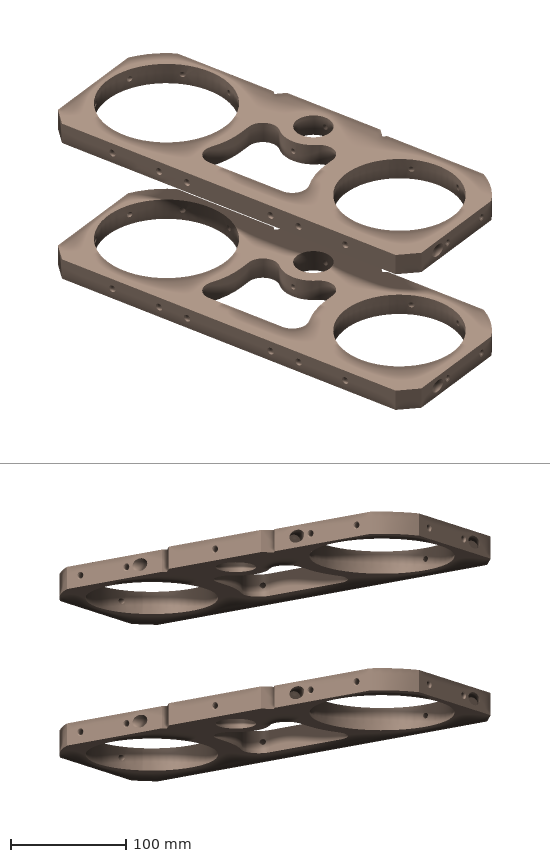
import cadquery as cq
import math

LEFT = -1
RIGHT = 1

length = 390.0
stack_height = 160.0
plate_thickness = 20.0
level_pitch = stack_height - plate_thickness
mid_height = plate_thickness / 2

bore_spacing = 250.0
bore_x = bore_spacing / 2
bore_diameters = {LEFT: 126.0, RIGHT: 115.0}
clamp_reach = length / 2 - bore_x
clamp_corner_radius = 80.5

frame_back = 75.0
frame_front = 80.0
corner_chamfer = 16.0
corner_sum = clamp_reach + frame_front - corner_chamfer
split_end = corner_sum / 2

small_bore_diameter = 35.0
small_bore_y = 45.0
pocket_front = 55.0
pocket_round = 15.0
pocket_side_radius = 80.0
pocket_neck_radius = 30.0

screw_diameter = 5.0
mouth_diameter = 6.5
mouth_depth = (mouth_diameter - screw_diameter) / 2
clamp_screw_offset = 25.0
clamp_screw_depth = 23.5
pocket_screw_x = 45.0
pocket_screw_depth = 31.2
blind_screw_x = 75.0
front_screw_depth = 20.0
drill_point_angle = 118.0
drill_tip_height = screw_diameter / 2 / math.tan(math.radians(drill_point_angle / 2))

bolt_recess_diameter = 11.5
bolt_radius = 77.5
bolt_seat_height = 4.0

level_count = 2


def arc_middle(center, radius, start, end):
    """Middle of the shorter arc from start to end about a centre."""
    angle = math.atan2(start[1] + end[1] - 2 * center[1], start[0] + end[0] - 2 * center[0])
    return (center[0] + radius * math.cos(angle), center[1] + radius * math.sin(angle))


def point_between(start, end, distance):
    """Point on the line from start to end, at a distance from start."""
    ratio = distance / math.dist(start, end)
    return (start[0] + ratio * (end[0] - start[0]), start[1] + ratio * (end[1] - start[1]))


def mirror_x(point):
    return (-point[0], point[1])


def cylinder(diameter, height, center=(0, 0)):
    return cq.Workplane("XY").center(*center).circle(diameter / 2).extrude(height)


def screw_hole(x, y, direction, depth):
    """Cutter for a hole at mid thickness, from an outer face inward, with a conical tip."""
    radius = screw_diameter / 2
    profile = [
        (0, 0),
        (mouth_diameter / 2, 0),
        (radius, mouth_depth),
        (radius, depth),
        (0, depth + drill_tip_height),
    ]
    sideways = (-direction[1], direction[0], 0)
    axis_plane = cq.Plane(origin=(x, y, mid_height), xDir=(0, 0, 1), normal=sideways)
    return cq.Workplane(axis_plane).polyline(profile).close().revolve(360, (0, 0), (0, 1))


def large_bore(side):
    return cylinder(bore_diameters[side], plate_thickness, (side * bore_x, 0))


def pocket():
    """Opening between the large bores, its rounds tangent to each other."""
    bore_center = (-bore_x, 0)
    small_bore_center = (0, small_bore_y)
    side_x = -bore_x + pocket_side_radius

    corner_y = -pocket_front + pocket_round
    corner_x = -bore_x + math.sqrt((pocket_side_radius + pocket_round) ** 2 - corner_y**2)
    corner = (corner_x, corner_y)
    corner_start = (corner_x, -pocket_front)
    corner_end = point_between(bore_center, corner, pocket_side_radius)
    corner_mid = (corner_x - pocket_round, corner_y)

    lobe_x = side_x + pocket_round
    lobe_y = small_bore_y - math.sqrt((pocket_neck_radius + pocket_round) ** 2 - lobe_x**2)
    lobe = (lobe_x, lobe_y)
    lobe_start = (side_x, lobe_y)
    lobe_end = point_between(small_bore_center, lobe, pocket_neck_radius)
    lobe_mid = (lobe_x, lobe_y + pocket_round)

    side_start = (side_x, 0)
    side_mid = arc_middle(bore_center, pocket_side_radius, corner_end, side_start)
    neck_mid = (0, small_bore_y - pocket_neck_radius)

    return (
        cq.Workplane("XY")
        .moveTo(*corner_start)
        .threePointArc(corner_mid, corner_end)
        .threePointArc(side_mid, side_start)
        .lineTo(*lobe_start)
        .threePointArc(lobe_mid, lobe_end)
        .threePointArc(neck_mid, mirror_x(lobe_end))
        .threePointArc(mirror_x(lobe_mid), mirror_x(lobe_start))
        .lineTo(*mirror_x(side_start))
        .threePointArc(mirror_x(side_mid), mirror_x(corner_end))
        .threePointArc(mirror_x(corner_mid), mirror_x(corner_start))
        .close()
        .extrude(plate_thickness)
    )


def frame():
    left_edge = [
        (-length / 2 + corner_chamfer, -frame_front),
        (-bore_x - split_end, -split_end),
        (-bore_x + frame_back, frame_back),
    ]
    right_edge = [mirror_x(point) for point in reversed(left_edge)]
    body = cq.Workplane("XY").polyline(left_edge + right_edge).close().extrude(plate_thickness)
    body = body.cut(pocket())
    body = body.cut(cylinder(small_bore_diameter, plate_thickness, (0, small_bore_y)))

    for side in (LEFT, RIGHT):
        body = body.cut(large_bore(side))
        body = body.cut(screw_hole(side * pocket_screw_x, -frame_front, (0, 1), pocket_screw_depth))
        for x in (blind_screw_x, bore_x):
            body = body.cut(screw_hole(side * x, -frame_front, (0, 1), front_screw_depth))

    return body.cut(screw_hole(0, frame_back, (0, -1), frame_back))


def bolt_recess():
    """Cutter for one bolt recess of the left clamp, with the bore centre at the origin."""
    axis_foot = bolt_radius / math.sqrt(2)
    outward = cq.Vector(-1, 1, 0).normalized()
    floor = cq.Vector(axis_foot, axis_foot, mid_height) + outward * bolt_seat_height
    return cq.Workplane(cq.Solid.makeCylinder(bolt_recess_diameter / 2, clamp_reach, floor, outward))


def clamp(side):
    """Clamp modelled for the left bore at the origin, then placed on its side of the frame."""
    corner_offset = math.sqrt(clamp_corner_radius**2 - clamp_reach**2)
    corner_mid = clamp_corner_radius / math.sqrt(2)
    side_end = corner_sum - clamp_reach
    body = (
        cq.Workplane("XY")
        .moveTo(-split_end, -split_end)
        .lineTo(-clamp_reach, -side_end)
        .lineTo(-clamp_reach, corner_offset)
        .threePointArc((-corner_mid, corner_mid), (-corner_offset, clamp_reach))
        .lineTo(side_end, clamp_reach)
        .lineTo(split_end, split_end)
        .close()
        .extrude(plate_thickness)
        .cut(cylinder(bore_diameters[side], plate_thickness))
    )
    for offset in (-clamp_screw_offset, clamp_screw_offset):
        body = body.cut(screw_hole(-clamp_reach, offset, (1, 0), clamp_screw_depth))
        body = body.cut(screw_hole(offset, clamp_reach, (0, -1), clamp_screw_depth))

    recess = bolt_recess()
    opposite_recess = recess.mirror("XZ").rotate((0, 0, 0), (0, 0, 1), -90)
    body = body.cut(recess).cut(opposite_recess)

    if side == RIGHT:
        body = body.mirror("YZ")
    return body.translate((side * bore_x, 0, 0))


bodies = []
for level in range(level_count):
    lift = (0, 0, level * level_pitch)
    bodies.append(frame().translate(lift).solids().val())
    for side in (LEFT, RIGHT):
        bodies.append(clamp(side).translate(lift).solids().val())

result = cq.Compound.makeCompound(bodies)